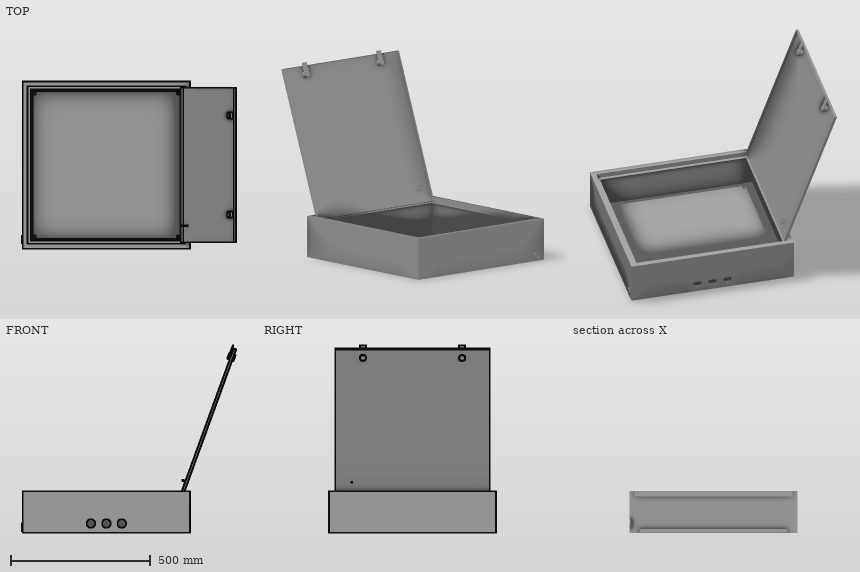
import cadquery as cq
import math

overall_length = 768
box_side = 600.0
box_height = 150.0
sheet = 1.15

rim_width = 18.5
recess_depth = 18.0
ledge_width = 11.0

plate_margin = 34.5
plate_height = 13.0
plate_hole_inset = 8.5
plate_hole_diameter = 10.0

entry_diameter = 31.0
entry_spacing = 55.0
entry_count = 3
entry_z = 34.0

door_side = 554.5
door_depth = 10.0
door_tilt = 20.0
hinge_z = 136.0

door_stud_diameter = 4.5
door_stud_length = 20.0
door_stud_offset = 217.0
door_stud_height = 48.0

lock_offset = 177.5
lock_drop = 32.0
lock_diameter = 22.0
lock_head_height = 4.5

cam_boss_height = 2.0
cam_thickness = 2.0
cam_overhang = 10.0
cam_distance = 14.5

plug_y = 34.0
plug_z = 20.0
plug_flange_diameter = 28.0
plug_flange_thickness = 3.0
plug_recess_diameter = 18.5
plug_recess_depth = 1.5
plug_shank_diameter = 12.0

middle = box_side / 2
tilt = math.radians(door_tilt)
hinge_x = overall_length - plug_flange_thickness - door_side * math.sin(tilt)
lock_height = door_side - lock_drop
lock_places = (-lock_offset, lock_offset)
door_plane = cq.Plane(
    origin=(hinge_x, middle, hinge_z),
    xDir=(0, -1, 0),
    normal=(-math.cos(tilt), 0, math.sin(tilt)),
)


def square_block(side, z_bottom, z_top):
    """Square block centred on the housing."""
    return (
        cq.Workplane("XY", origin=(middle, middle, z_bottom))
        .rect(side, side)
        .extrude(z_top - z_bottom)
    )


def door_cylinder(x, y, z_start, diameter, length):
    """Cylinder square to the door, given in door coordinates."""
    return (
        cq.Workplane(door_plane)
        .workplane(offset=z_start)
        .center(x, y)
        .circle(diameter / 2)
        .extrude(length)
    )


def wall_cylinder(x_start, diameter, length):
    """Cylinder on the plug axis, running towards +X."""
    return (
        cq.Workplane("YZ", origin=(x_start, plug_y, plug_z))
        .circle(diameter / 2)
        .extrude(length)
    )


def make_housing():
    opening = box_side - 2 * rim_width
    ledge_opening = opening - 2 * ledge_width
    ledge_z = box_height - recess_depth

    box = square_block(box_side, 0, box_height)
    cavity = square_block(box_side - 2 * sheet, sheet, box_height - sheet)
    recess_frame = square_block(opening + 2 * sheet, ledge_z - sheet, box_height - sheet)
    recess = square_block(opening, ledge_z, box_height)
    ledge_hole = square_block(ledge_opening, ledge_z - sheet, ledge_z)

    entries = (
        cq.Workplane("XZ", origin=(middle, 0, entry_z))
        .rarray(entry_spacing, 8, entry_count, 1)
        .circle(entry_diameter / 2)
        .extrude(-sheet)
    )
    plug_hole = wall_cylinder(0, plug_shank_diameter, sheet)
    return (
        box.cut(cavity)
        .union(recess_frame)
        .cut(recess)
        .cut(ledge_hole)
        .cut(entries)
        .cut(plug_hole)
    )


def make_mounting_plate():
    side = box_side - 2 * plate_margin
    hole_spacing = side - 2 * plate_hole_inset
    holes = (
        cq.Workplane("XY", origin=(middle, middle, sheet))
        .rarray(hole_spacing, hole_spacing, 2, 2)
        .circle(plate_hole_diameter / 2)
        .extrude(plate_height)
    )
    plate_top = sheet + plate_height
    hollow = square_block(side - 2 * sheet, sheet, plate_top - sheet)
    return square_block(side, sheet, plate_top).cut(hollow).cut(holes)


def make_door():
    inner_side = door_side - 2 * sheet
    tray = (
        cq.Workplane(door_plane)
        .center(0, door_side / 2)
        .rect(door_side, door_side)
        .extrude(door_depth)
    )
    hollow = (
        cq.Workplane(door_plane)
        .workplane(offset=sheet)
        .center(0, door_side / 2)
        .rect(inner_side, inner_side)
        .extrude(door_depth)
    )
    stud = door_cylinder(door_stud_offset, door_stud_height, sheet, door_stud_diameter, door_stud_length)
    door = tray.cut(hollow).union(stud)
    for x in lock_places:
        door = door.cut(door_cylinder(x, lock_height, 0, lock_diameter, sheet))
    return door


def make_lock(x):
    lock_length = lock_head_height + cam_distance
    return door_cylinder(x, lock_height, -lock_head_height, lock_diameter, lock_length)


def make_cam(x):
    half = lock_diameter / 2
    tip = lock_drop + cam_overhang
    bar = (
        cq.Workplane(door_plane)
        .workplane(offset=cam_distance)
        .center(x, lock_height)
        .moveTo(half, 0)
        .lineTo(half, tip)
        .lineTo(-half, tip)
        .lineTo(-half, 0)
        .threePointArc((0, -half), (half, 0))
        .close()
        .extrude(cam_thickness)
    )
    boss_start = cam_distance + cam_thickness
    return bar.union(door_cylinder(x, lock_height, boss_start, lock_diameter, cam_boss_height))


def make_plug():
    flange = wall_cylinder(-plug_flange_thickness, plug_flange_diameter, plug_flange_thickness)
    shank = wall_cylinder(0, plug_shank_diameter, sheet)
    recess = wall_cylinder(-plug_flange_thickness, plug_recess_diameter, plug_recess_depth)
    return flange.cut(recess).union(shank)


housing = make_housing()
mounting_plate = make_mounting_plate()
door = make_door()
plug = make_plug()
locks = [make_lock(x) for x in lock_places]
cams = [make_cam(x) for x in lock_places]

result = cq.Compound.makeCompound(
    [housing.val(), mounting_plate.val(), door.val(), plug.val()]
    + [lock.val() for lock in locks]
    + [cam.val() for cam in cams]
)